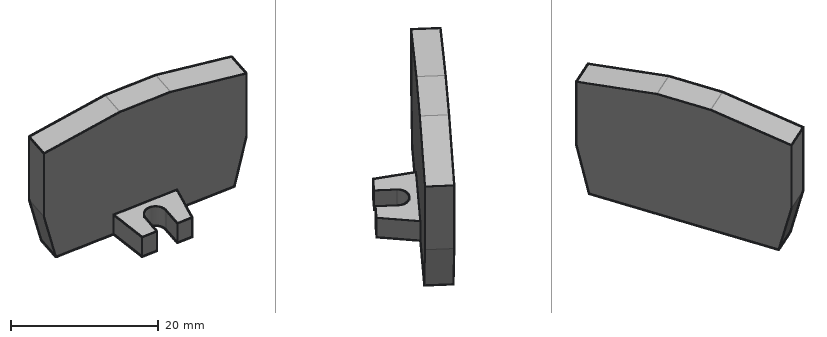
import cadquery as cq
import math

plate_thickness = 4.0
plate_width = 32.0
plate_height = 22.0
top_flat_width = 8.0
bottom_width = 28.2
lower_corner_height = 8.3
taper_angle = math.radians(10.0)

tab_length = 5.9
tab_height = 3.6
tab_root_width = 10.0

slot_width = 3.2
slot_root_gap = 1.2


def make_plate():
    half_width = plate_width / 2
    half_top = top_flat_width / 2
    half_bottom = bottom_width / 2
    shoulder_height = plate_height - (half_width - half_top) * math.tan(taper_angle)
    outline = [
        (-half_bottom, 0),
        (half_bottom, 0),
        (half_width, lower_corner_height),
        (half_width, shoulder_height),
        (half_top, plate_height),
        (-half_top, plate_height),
        (-half_width, shoulder_height),
        (-half_width, lower_corner_height),
    ]
    return cq.Workplane("YZ").polyline(outline).close().extrude(plate_thickness)


def make_tab():
    tip_x = plate_thickness + tab_length
    half_root = tab_root_width / 2
    half_tip = half_root - tab_length * math.tan(taper_angle)
    half_slot = slot_width / 2
    slot_end_x = plate_thickness + slot_root_gap
    slot_center_x = slot_end_x + half_slot
    return (
        cq.Workplane("XY")
        .moveTo(plate_thickness, -half_root)
        .lineTo(tip_x, -half_tip)
        .lineTo(tip_x, -half_slot)
        .lineTo(slot_center_x, -half_slot)
        .threePointArc((slot_end_x, 0), (slot_center_x, half_slot))
        .lineTo(tip_x, half_slot)
        .lineTo(tip_x, half_tip)
        .lineTo(plate_thickness, half_root)
        .close()
        .extrude(tab_height)
    )


result = make_plate().union(make_tab())